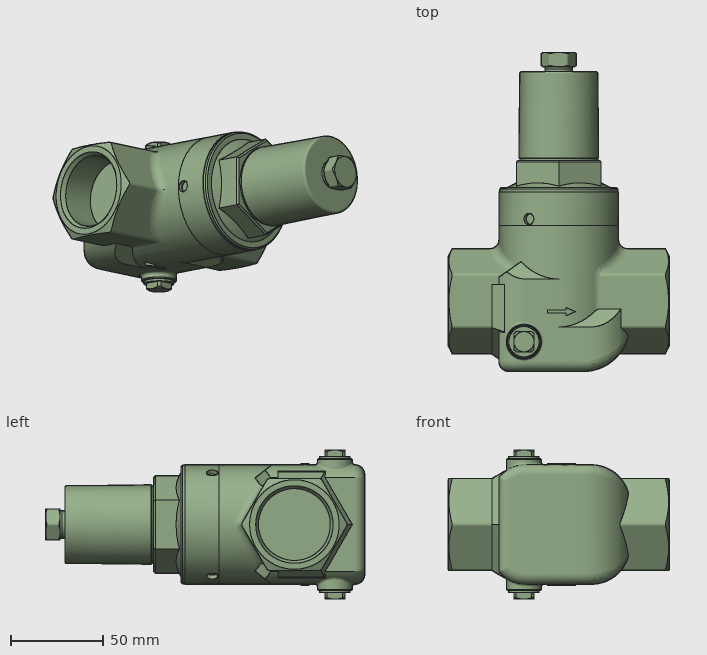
import cadquery as cq
import math


barrel_radius = 65 / 2
seam_y = 41.0
spigot_radius = 60 / 2
spigot_top_y = 50.0
port_half_length = 60.0
port_across_flats = 50.0
port_edge_rounding = 2.0
port_chamfer_length = 2.3
port_face_radius = 24.3
bore_radius = 39 / 2
bore_depth = 22.0
bore_mouth_radius = 21.0
bore_mouth_depth = 2.5
port_blend = 4.7
junction_bottom_y = -15.0

block_bottom_y = -38.26
block_left_x = -barrel_radius
block_right_x = 38.7
inlet_shoulder_y = 12.0
outlet_shoulder_y = -14.0
shoulder_drop = 8.0
shoulder_slope = 1.3
inlet_corner_run = 13.5
inlet_corner_fall = 9.4
block_flat_left_x = -18.0
block_flat_right_x = 17.5
block_flat_bottom_right_x = 13.0
inlet_corner_radius = 18.7
outlet_corner_radius = block_right_x - block_flat_right_x
outlet_sweep_radius = block_right_x - block_flat_bottom_right_x
block_edge_rounding = 5.6
inlet_root_start_x = -36.2
inlet_root_end_x = -29.5
inlet_root_spread = 4.0
inlet_root_top_y = 9.0
barrel_bottom_y = -20.0

plug_x = -18.9
plug_y = -22.0
plug_tip_z = 81 / 2
boss_radius = 19 / 2
boss_top_z = 35.8
boss_chamfer = 0.6
boss_blend = 1.3
boss_foot_depth = 5.0
boss_foot_margin = 0.5
plug_flange_radius = 16.5 / 2
plug_flange_thickness = 1.2
plug_shank_radius = 13.16 / 2
plug_shank_length = 9.0
plug_across_flats = 11.0
plug_corner_chamfer = 1.3

arrow_tail_x = -6.0
arrow_neck_x = 4.0
arrow_tip_x = 9.0
arrow_y = -5.7
arrow_shaft_width = 1.6
arrow_head_width = 4.4
arrow_top_z = 33.2
arrow_base_z = 31.0

collar_top_y = 61.6
collar_step_y = 59.3
collar_step = 0.3
collar_chamfer = 0.8
collar_lip_radius = 56.3 / 2
collar_lip_y = 58.0
spanner_hole_diameter = 6.1
spanner_hole_y = 44.6
spanner_hole_count = 3

bonnet_across_flats = 46.0
bonnet_hex_top_y = 76.4
bonnet_top_y = 77.3
bonnet_neck_radius = 21.2
bonnet_cone_angle = 27.0
bonnet_chamfer = 0.9

cap_base_radius = 43.4 / 2
cap_end_radius = 42.5 / 2
cap_top_y = 124.6
cap_end_rounding = 1.2
cap_base_chamfer = 0.5
cap_neck_radius = 15 / 2
cap_neck_top_y = 126.0
head_base_y = 127.2
screw_tip_y = 135.0
screw_across_flats = 17.0
screw_edge_rounding = 1.5
screw_shank_radius = 10 / 2
screw_hole_radius = 10.2 / 2
screw_end_y = 105.0
head_cone_angle = 30.0


def y_cylinder(radius, start_y, end_y):
    return cq.Workplane("XZ", origin=(0, start_y, 0)).circle(radius).extrude(start_y - end_y)


def y_turned(points):
    """Turn (radius, y) points about the Y axis."""
    return cq.Workplane("XY").polyline(points).close().revolve(360, (0, 0), (0, 1))


def across_corners(across_flats):
    return across_flats / math.cos(math.pi / 6)


def port_hex():
    """Hexagon bar along X with an edge toward +Y and -Y and coned ends."""
    corners = across_corners(port_across_flats)
    bar = cq.Workplane("YZ").polygon(6, corners).extrude(port_half_length, both=True)
    bar = bar.edges("|X").fillet(port_edge_rounding)
    slope = (corners / 2 - port_face_radius) / port_chamfer_length
    apex_x = port_half_length + port_face_radius / slope
    envelope = (
        cq.Workplane("XY")
        .polyline([(-apex_x, 0), (0, slope * apex_x), (apex_x, 0)])
        .close()
        .revolve(360, (0, 0), (1, 0))
    )
    return bar.intersect(envelope)


def port_bore():
    """Bore at the +X port with a coned mouth and a flat bottom."""
    floor_x = port_half_length - bore_depth
    mouth_x = port_half_length - bore_mouth_depth
    profile = [
        (floor_x, 0),
        (floor_x, bore_radius),
        (mouth_x, bore_radius),
        (port_half_length, bore_mouth_radius),
        (port_half_length, 0),
    ]
    return cq.Workplane("XY").polyline(profile).close().revolve(360, (0, 0), (1, 0))


def shouldered_bar(shoulder_y, end_x):
    """Bar from X = 0 to end_x whose top slopes down to both shoulders."""
    crest_y = shoulder_y + shoulder_slope * shoulder_drop
    crest_z = barrel_radius - shoulder_drop
    profile = [
        (block_bottom_y, -barrel_radius),
        (shoulder_y, -barrel_radius),
        (crest_y, -crest_z),
        (crest_y, crest_z),
        (shoulder_y, barrel_radius),
        (block_bottom_y, barrel_radius),
    ]
    return cq.Workplane("YZ").polyline(profile).close().extrude(end_x)


def chamber_block():
    """Block with a tall inlet side, a low outlet side and rounded outlet corners."""
    block_top_y = inlet_shoulder_y + shoulder_slope * shoulder_drop
    inlet_run = block_flat_left_x - block_left_x
    inlet_drop = inlet_corner_radius - math.sqrt(inlet_corner_radius**2 - inlet_run**2)
    half_depth = barrel_radius
    inlet_corner_z = half_depth - inlet_drop
    half_angle = math.asin(inlet_run / inlet_corner_radius) / 2
    inlet_mid_x = block_flat_left_x - inlet_corner_radius * math.sin(half_angle)
    inlet_mid_z = half_depth - inlet_corner_radius * (1 - math.cos(half_angle))
    outlet_end_z = half_depth - outlet_corner_radius
    outlet_mid_x = block_flat_right_x + outlet_corner_radius * math.sin(math.pi / 4)
    outlet_mid_z = outlet_end_z + outlet_corner_radius * math.cos(math.pi / 4)
    plan = (
        cq.Workplane("XZ", origin=(0, block_top_y, 0))
        .moveTo(block_left_x, -inlet_corner_z)
        .threePointArc((inlet_mid_x, -inlet_mid_z), (block_flat_left_x, -half_depth))
        .lineTo(block_flat_right_x, -half_depth)
        .threePointArc((outlet_mid_x, -outlet_mid_z), (block_right_x, -outlet_end_z))
        .lineTo(block_right_x, outlet_end_z)
        .threePointArc((outlet_mid_x, outlet_mid_z), (block_flat_right_x, half_depth))
        .lineTo(block_flat_left_x, half_depth)
        .threePointArc((inlet_mid_x, inlet_mid_z), (block_left_x, inlet_corner_z))
        .close()
        .extrude(block_top_y - block_bottom_y)
    )
    sweep_end_y = block_bottom_y + outlet_sweep_radius
    sweep_mid_x = block_flat_bottom_right_x + outlet_sweep_radius * math.sin(math.pi / 4)
    sweep_mid_y = sweep_end_y - outlet_sweep_radius * math.cos(math.pi / 4)
    elevation = (
        cq.Workplane("XY")
        .moveTo(block_left_x, block_bottom_y)
        .lineTo(block_flat_bottom_right_x, block_bottom_y)
        .threePointArc((sweep_mid_x, sweep_mid_y), (block_right_x, sweep_end_y))
        .lineTo(block_right_x, block_top_y)
        .lineTo(block_left_x + inlet_corner_run, block_top_y)
        .lineTo(block_left_x, block_top_y - inlet_corner_fall)
        .close()
        .extrude(block_right_x, both=True)
    )
    bars = shouldered_bar(inlet_shoulder_y, block_left_x).union(
        shouldered_bar(outlet_shoulder_y, block_right_x)
    )
    solid = plan.intersect(elevation)
    low_part = cq.selectors.BoxSelector(
        (block_left_x, block_bottom_y - 1, -barrel_radius - 1),
        (block_right_x, sweep_end_y, barrel_radius + 1),
    )
    rim = solid.edges("not(|Y or |Z)").edges(low_part).add(solid.faces("<X").edges("<Y"))
    return rim.fillet(block_edge_rounding).intersect(bars)


def inlet_root():
    """Hexagon that widens from the inlet port to the block wall."""
    length = inlet_root_end_x - inlet_root_start_x
    taper = math.degrees(math.atan(inlet_root_spread / length))
    end_size = port_across_flats + 2 * inlet_root_spread
    root = (
        cq.Workplane("YZ", origin=(inlet_root_end_x, 0, 0))
        .polygon(6, across_corners(end_size))
        .extrude(-length, taper=taper)
    )
    below_shoulder = cq.Workplane("XY").box(2 * port_half_length, 2 * end_size, end_size)
    below_shoulder = below_shoulder.translate((0, inlet_root_top_y - end_size, 0))
    return root.intersect(below_shoulder)


def flow_arrow():
    """Raised arrow that points along +X on the +Z face."""
    half_shaft = arrow_shaft_width / 2
    half_head = arrow_head_width / 2
    outline = [
        (arrow_tail_x, arrow_y - half_shaft),
        (arrow_neck_x, arrow_y - half_shaft),
        (arrow_neck_x, arrow_y - half_head),
        (arrow_tip_x, arrow_y),
        (arrow_neck_x, arrow_y + half_head),
        (arrow_neck_x, arrow_y + half_shaft),
        (arrow_tail_x, arrow_y + half_shaft),
    ]
    plane = cq.Workplane("XY", origin=(0, 0, arrow_base_z))
    return plane.polyline(outline).close().extrude(arrow_top_z - arrow_base_z)


def make_housing():
    """Barrel, ports and chamber block with the bosses, bores and plug holes."""
    barrel = y_cylinder(barrel_radius, barrel_bottom_y, seam_y)
    shell = barrel.union(port_hex())
    junction = cq.selectors.BoxSelector(
        (-block_right_x, junction_bottom_y, -barrel_radius),
        (block_right_x, seam_y, barrel_radius),
    )
    shell = shell.edges("not(%LINE or %CIRCLE)").edges(junction).fillet(port_blend)
    shell = shell.union(chamber_block()).union(inlet_root())

    plug_axis = cq.Workplane("XY", origin=(plug_x, plug_y, 0))
    boss = plug_axis.circle(boss_radius).extrude(boss_top_z, both=True)
    shell = shell.union(boss)
    for side in (1, -1):
        foot_box = cq.selectors.BoxSelector(
            (plug_x - boss_radius, plug_y - boss_radius, side * (barrel_radius - boss_foot_depth)),
            (plug_x + boss_radius, plug_y + boss_radius, side * (barrel_radius + boss_foot_margin)),
        )
        shell = shell.edges("%CIRCLE or %BSPLINE").edges(foot_box).fillet(boss_blend)
    shell = shell.faces(">Z or <Z").chamfer(boss_chamfer)
    arrow = flow_arrow()
    shell = shell.union(arrow).union(arrow.mirror("XY"))
    shell = shell.union(y_cylinder(spigot_radius, seam_y, spigot_top_y))

    shell = shell.cut(port_bore()).cut(port_bore().mirror("YZ"))
    for side in (1, -1):
        hole = plug_axis.workplane(offset=side * boss_top_z).circle(plug_shank_radius)
        shell = shell.cut(hole.extrude(-side * plug_shank_length))
    return shell


def make_collar():
    """Ring nut with an inner lip and radial spanner holes."""
    ring = y_turned([
        (spigot_radius, seam_y),
        (barrel_radius, seam_y),
        (barrel_radius, collar_step_y),
        (barrel_radius - collar_step, collar_step_y),
        (barrel_radius - collar_step, collar_top_y - collar_chamfer),
        (barrel_radius - collar_step - collar_chamfer, collar_top_y),
        (collar_lip_radius, collar_top_y),
        (collar_lip_radius, collar_lip_y),
        (spigot_radius, collar_lip_y),
    ])
    hole = (
        cq.Workplane("YZ", origin=(0, spanner_hole_y, 0))
        .circle(spanner_hole_diameter / 2)
        .extrude(barrel_radius + 1)
        .cut(y_cylinder(spigot_radius, seam_y, collar_top_y))
    )
    for index in range(spanner_hole_count):
        angle = index * 360 / spanner_hole_count
        ring = ring.cut(hole.rotate((0, 0, 0), (0, 1, 0), angle))
    return ring


def make_bonnet():
    """Hexagon on a coned flange that the collar lip holds down."""
    flange = y_turned([
        (0, spigot_top_y),
        (spigot_radius, spigot_top_y),
        (spigot_radius, collar_lip_y),
        (collar_lip_radius, collar_lip_y),
        (collar_lip_radius, collar_top_y),
        (0, collar_top_y + collar_lip_radius * math.tan(math.radians(bonnet_cone_angle))),
    ])
    height = bonnet_hex_top_y - collar_top_y
    hexagon = (
        cq.Workplane("XZ", origin=(0, bonnet_hex_top_y, 0))
        .transformed(rotate=(0, 0, 90))
        .polygon(6, across_corners(bonnet_across_flats))
        .extrude(height)
        .faces(">Y")
        .chamfer(bonnet_chamfer)
    )
    above_top = y_cylinder(barrel_radius, bonnet_hex_top_y, bonnet_hex_top_y + barrel_radius)
    neck = y_cylinder(bonnet_neck_radius, bonnet_hex_top_y, bonnet_top_y)
    return flange.cut(above_top).union(hexagon).union(neck)


def make_cap():
    """Slightly tapered spring cap with a short neck and a hole for the screw."""
    body = y_turned([
        (0, bonnet_top_y),
        (cap_base_radius, bonnet_top_y),
        (cap_end_radius, cap_top_y),
        (0, cap_top_y),
    ])
    body = body.faces(">Y").fillet(cap_end_rounding).faces("<Y").chamfer(cap_base_chamfer)
    body = body.union(y_cylinder(cap_neck_radius, cap_top_y, cap_neck_top_y))
    return body.cut(y_cylinder(screw_hole_radius, screw_end_y, cap_neck_top_y))


def make_washer():
    disc = y_cylinder(cap_neck_radius, cap_neck_top_y, head_base_y)
    return disc.cut(y_cylinder(screw_hole_radius, cap_neck_top_y, head_base_y))


def make_screw():
    """Hexagon head with both ends coned, on a plain shank."""
    head_height = screw_tip_y - head_base_y
    head = (
        cq.Workplane("XZ", origin=(0, screw_tip_y, 0))
        .polygon(6, across_corners(screw_across_flats))
        .extrude(head_height)
        .edges("|Y")
        .fillet(screw_edge_rounding)
    )
    face_radius = screw_across_flats / 2
    rim_radius = across_corners(screw_across_flats) / 2
    cone_height = (rim_radius - face_radius) * math.tan(math.radians(head_cone_angle))
    envelope = y_turned([
        (0, head_base_y),
        (face_radius, head_base_y),
        (rim_radius, head_base_y + cone_height),
        (rim_radius, screw_tip_y - cone_height),
        (face_radius, screw_tip_y),
        (0, screw_tip_y),
    ])
    return head.intersect(envelope).union(y_cylinder(screw_shank_radius, screw_end_y, head_base_y))


def make_plug():
    """Square-headed plug for the +Z boss, built on its own axis."""
    flange_top_z = boss_top_z + plug_flange_thickness
    square = (
        cq.Workplane("XY", origin=(0, 0, flange_top_z))
        .rect(plug_across_flats, plug_across_flats)
        .extrude(plug_tip_z - flange_top_z)
        .edges("|Z")
        .chamfer(plug_corner_chamfer)
    )
    face_radius = plug_across_flats / 2
    cone_height = (plug_flange_radius - face_radius) * math.tan(math.radians(head_cone_angle))
    turned = [
        (0, flange_top_z),
        (plug_flange_radius, flange_top_z),
        (plug_flange_radius, plug_tip_z - cone_height),
        (face_radius, plug_tip_z),
        (0, plug_tip_z),
    ]
    envelope = cq.Workplane("XZ").polyline(turned).close().revolve(360, (0, 0), (0, 1))
    flange = cq.Workplane("XY", origin=(0, 0, boss_top_z)).circle(plug_flange_radius)
    shank = cq.Workplane("XY", origin=(0, 0, boss_top_z)).circle(plug_shank_radius)
    return (
        flange.extrude(plug_flange_thickness)
        .union(shank.extrude(-plug_shank_length))
        .union(square.intersect(envelope))
    )


housing = make_housing()
collar = make_collar()
bonnet = make_bonnet()
cap = make_cap()
washer = make_washer()
screw = make_screw()
upper_plug = make_plug().translate((plug_x, plug_y, 0))
plugs = [upper_plug, upper_plug.mirror("XY")]

result = cq.Compound.makeCompound([
    housing.val(),
    collar.val(),
    bonnet.val(),
    cap.val(),
    washer.val(),
    screw.val(),
    *[plug.val() for plug in plugs],
])